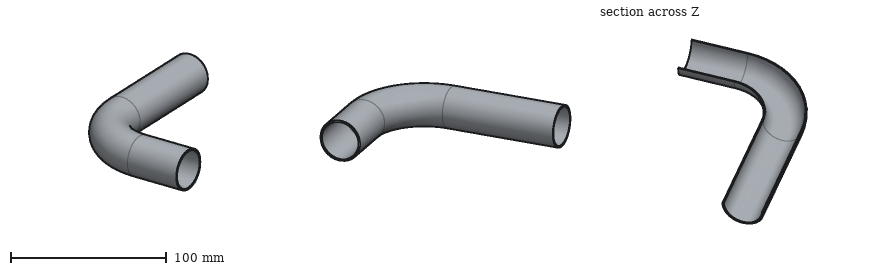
import cadquery as cq

size_x = 94.0
size_y = 134.0
outer_diameter = 28.0
bore_diameter = 25.6

bend_radius = 1.5 * outer_diameter
bend_reach = bend_radius + outer_diameter / 2
long_leg = size_y - bend_reach
short_leg = size_x - bend_reach


def swept_rod(diameter):
    """Solid rod along the tube centreline: long leg, 90 degree bend, short leg."""
    centreline = (
        cq.Workplane("XY")
        .moveTo(-bend_radius, long_leg)
        .lineTo(-bend_radius, 0)
        .tangentArcPoint((0, -bend_radius), relative=False)
        .lineTo(short_leg, -bend_radius)
    )
    section = cq.Workplane("XZ", origin=(-bend_radius, long_leg, 0)).circle(diameter / 2)
    return section.sweep(centreline)


result = swept_rod(outer_diameter).cut(swept_rod(bore_diameter))